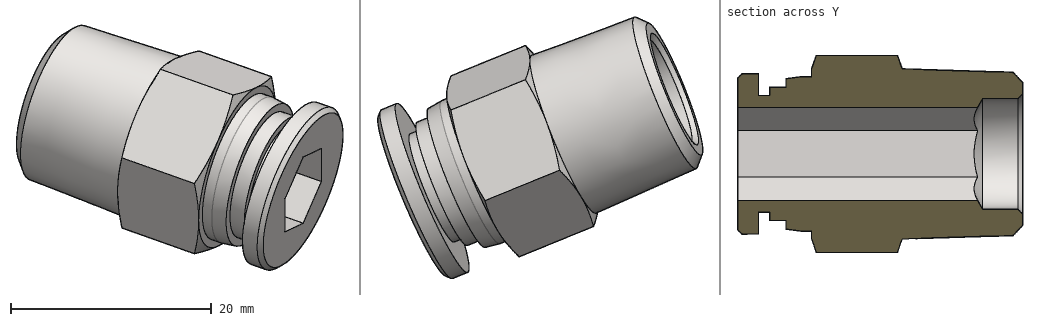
import cadquery as cq
import math

overall_length = 28.4
thread_length = 12.0
hex_length = 9.05
shoulder_straight_length = 1.05
shoulder_nose_length = 1.5
sleeve_length = 1.6
flange_length = 2.1
hex_end = thread_length + hex_length
shoulder_straight_end = hex_end + shoulder_straight_length
shoulder_end = shoulder_straight_end + shoulder_nose_length
sleeve_end = shoulder_end + sleeve_length
flange_start = overall_length - flange_length

thread_end_radius = 8.5
thread_taper = 1 / 32
thread_chamfer_length = 1.0
thread_face_radius = 7.1

hex_across_flats = 17.0
hex_chamfer_angle = 20.0

shoulder_radius = 7.7
shoulder_tip_radius = 7.5
sleeve_radius = 6.65
neck_radius = 5.825

flange_width_y = 18.5
flange_width_z = 16.0
flange_chamfer = 0.45

bore_radius = 5.5
bore_mouth_radius = 6.0
bore_depth = 4.0
bore_floor_angle = 120.0
socket_across_flats = 8.0


def hexagon_prism(across_flats, x_start, length):
    """Hexagonal prism along X with two corners on the Z axis."""
    across_corners = across_flats / math.cos(math.pi / 6)
    return (
        cq.Workplane("YZ", origin=(x_start, 0, 0))
        .transformed(rotate=(0, 0, 90))
        .polygon(6, across_corners)
        .extrude(length)
    )


def revolve_about_x(profile):
    """Full turn of a closed (x, radius) profile about the X axis."""
    return profile.close().revolve(360, (0, 0, 0), (1, 0, 0))


def make_thread_body():
    chamfer_radius = thread_end_radius - thread_taper * (thread_length - thread_chamfer_length)
    profile = (
        cq.Workplane("XY")
        .moveTo(0, 0)
        .lineTo(0, thread_face_radius)
        .lineTo(thread_chamfer_length, chamfer_radius)
        .lineTo(thread_length, thread_end_radius)
        .lineTo(thread_length, 0)
    )
    return revolve_about_x(profile)


def make_hex_body():
    """Hexagon whose corners are trimmed by a cone at each end."""
    flat_radius = hex_across_flats / 2
    corner_radius = flat_radius / math.cos(math.pi / 6)
    chamfer_length = (corner_radius - flat_radius) * math.tan(math.radians(hex_chamfer_angle))
    profile = (
        cq.Workplane("XY")
        .moveTo(thread_length, 0)
        .lineTo(thread_length, flat_radius)
        .lineTo(thread_length + chamfer_length, corner_radius)
        .lineTo(hex_end - chamfer_length, corner_radius)
        .lineTo(hex_end, flat_radius)
        .lineTo(hex_end, 0)
    )
    hexagon = hexagon_prism(hex_across_flats, thread_length, hex_length)
    return hexagon.intersect(revolve_about_x(profile))


def make_release_end():
    """Shoulder with a tapered nose, sleeve and neck."""
    profile = (
        cq.Workplane("XY")
        .moveTo(hex_end, 0)
        .lineTo(hex_end, shoulder_radius)
        .lineTo(shoulder_straight_end, shoulder_radius)
        .lineTo(shoulder_end, shoulder_tip_radius)
        .lineTo(shoulder_end, sleeve_radius)
        .lineTo(sleeve_end, sleeve_radius)
        .lineTo(sleeve_end, neck_radius)
        .lineTo(flange_start, neck_radius)
        .lineTo(flange_start, 0)
    )
    return revolve_about_x(profile)


def make_flange():
    """Elliptical flange, chamfered around its outer face."""
    return (
        cq.Workplane("YZ", origin=(flange_start, 0, 0))
        .ellipse(flange_width_y / 2, flange_width_z / 2)
        .extrude(flange_length)
        .faces(">X")
        .chamfer(flange_chamfer)
    )


def make_bore():
    mouth_chamfer = bore_mouth_radius - bore_radius
    cone_length = bore_radius / math.tan(math.radians(bore_floor_angle / 2))
    profile = (
        cq.Workplane("XY")
        .moveTo(0, 0)
        .lineTo(0, bore_mouth_radius)
        .lineTo(mouth_chamfer, bore_radius)
        .lineTo(bore_depth, bore_radius)
        .lineTo(bore_depth + cone_length, 0)
    )
    return revolve_about_x(profile)


outer_body = make_thread_body().union(make_hex_body()).union(make_release_end()).union(make_flange())
key_socket = hexagon_prism(socket_across_flats, 0, overall_length)
result = outer_body.cut(make_bore()).cut(key_socket)